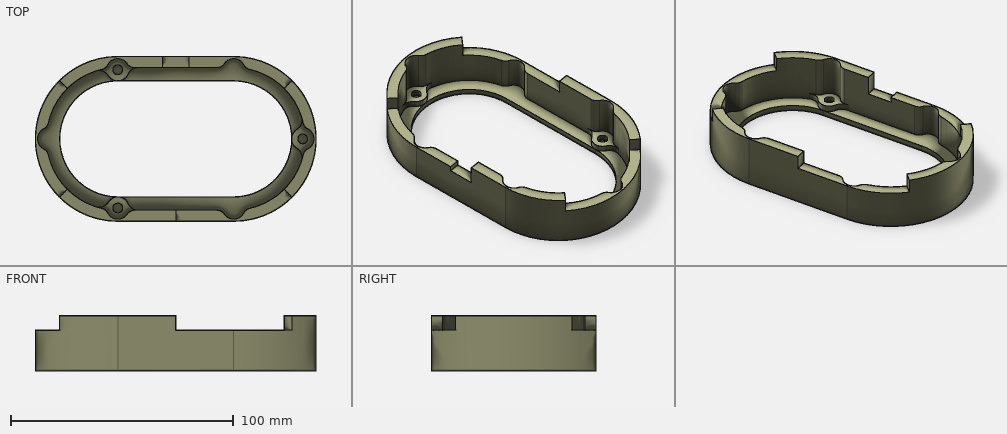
import cadquery as cq
import math

ARC_OFFSET = 26.0
OUTER_RADIUS = 37.0
CAVITY_RADIUS = 32.0
OPENING_RADIUS = 26.0

FULL_HEIGHT = 25.0
LOW_RIM_HEIGHT = 18.5
NOTCH_FLOOR_HEIGHT = 16.0
FLOOR_THICKNESS = 3.0
BOSS_HEIGHT = 6.0
BOTTOM_ROUNDING = 0.5

SCREW_RADIUS = 31.0
LOBE_RADIUS = 5.0
LOBE_BLEND_RADIUS = 4.0
BOSS_BLEND_RADIUS = 5.0
HOLE_DIAMETER = 4.4

NOTCH_WIDTH = 12.0

MATCH_TOLERANCE = 0.01

BOSS_POINTS = [
    (-ARC_OFFSET, SCREW_RADIUS),
    (-ARC_OFFSET, -SCREW_RADIUS),
    (ARC_OFFSET + SCREW_RADIUS, 0),
]
OPEN_LOBE_POINTS = [(-x, y) for x, y in BOSS_POINTS]
LOBE_POINTS = BOSS_POINTS + OPEN_LOBE_POINTS


def racetrack(radius, bottom, top):
    """Solid racetrack slab between two heights."""
    slab = cq.Workplane("XY").workplane(offset=bottom)
    return slab.slot2D(2 * (ARC_OFFSET + radius), 2 * radius).extrude(top - bottom)


def posts(points, bottom, top, radius=LOBE_RADIUS):
    """Round posts at the given screw positions."""
    plan = cq.Workplane("XY").workplane(offset=bottom)
    return plan.pushPoints(points).circle(radius).extrude(top - bottom)


def box_between(x_range, y_range, bottom, top):
    """Box given by its X, Y and Z limits."""
    size = (x_range[1] - x_range[0], y_range[1] - y_range[0], top - bottom)
    return cq.Workplane("XY").box(*size, centered=False).translate((x_range[0], y_range[0], bottom))


def is_lobe_corner(edge):
    """True for the vertical edges where a lobe crosses the cavity wall."""
    mid = edge.Center()
    distances = [math.hypot(mid.x - x, mid.y - y) for x, y in LOBE_POINTS]
    return abs(min(distances) - LOBE_RADIUS) < MATCH_TOLERANCE


def blend_lobe_corners(body, radius):
    """Round the sharp vertical edges between lobes and cavity wall."""
    corners = [edge for edge in body.edges("|Z").vals() if is_lobe_corner(edge)]
    return body.newObject(corners).fillet(radius)


def make_cavity():
    """Inner space above the floor, with a lobe at every screw position."""
    cavity = racetrack(CAVITY_RADIUS, FLOOR_THICKNESS, FULL_HEIGHT)
    cavity = cavity.union(posts(LOBE_POINTS, FLOOR_THICKNESS, FULL_HEIGHT))
    return blend_lobe_corners(cavity, LOBE_BLEND_RADIUS)


def make_bosses():
    """Screw bosses that flare into the surrounding wall."""
    ring = racetrack(OUTER_RADIUS, FLOOR_THICKNESS, BOSS_HEIGHT)
    ring = ring.cut(racetrack(CAVITY_RADIUS, FLOOR_THICKNESS, BOSS_HEIGHT))
    ring = ring.union(posts(BOSS_POINTS, FLOOR_THICKNESS, BOSS_HEIGHT))
    flared_ring = blend_lobe_corners(ring, BOSS_BLEND_RADIUS)
    near_bosses = posts(BOSS_POINTS, FLOOR_THICKNESS, BOSS_HEIGHT, 2 * LOBE_RADIUS)
    return flared_ring.intersect(near_bosses)


def end_wedge(side):
    """Right-angled wedge above the low rim, opening outward from one end-arc centre."""
    reach = 2 * OUTER_RADIUS
    tip = side * ARC_OFFSET
    far = side * (ARC_OFFSET + reach)
    plan = cq.Workplane("XY").workplane(offset=LOW_RIM_HEIGHT)
    plan = plan.polyline([(tip, 0), (far, reach), (far, -reach)]).close()
    return plan.extrude(FULL_HEIGHT - LOW_RIM_HEIGHT)


def make_low_rim():
    """Space above the low rim: the -X end wedge and the +X half outside its own wedge."""
    end_x = ARC_OFFSET + OUTER_RADIUS
    half = box_between((0, end_x), (-OUTER_RADIUS, OUTER_RADIUS), LOW_RIM_HEIGHT, FULL_HEIGHT)
    return half.cut(end_wedge(1)).union(end_wedge(-1))


def make_notch():
    """Deeper notch through the middle of the +Y straight wall."""
    half_width = NOTCH_WIDTH / 2
    return box_between((-half_width, half_width), (0, OUTER_RADIUS), NOTCH_FLOOR_HEIGHT, FULL_HEIGHT)


def make_screw_holes():
    """Blind holes through the bosses, ending on the floor."""
    plan = cq.Workplane("XY").workplane(offset=FLOOR_THICKNESS)
    return plan.pushPoints(BOSS_POINTS).circle(HOLE_DIAMETER / 2).extrude(BOSS_HEIGHT - FLOOR_THICKNESS)


shell = racetrack(OUTER_RADIUS, 0, FULL_HEIGHT)
shell = shell.cut(racetrack(OPENING_RADIUS, 0, FLOOR_THICKNESS))
shell = shell.faces("<Z").edges().fillet(BOTTOM_ROUNDING)
shell = shell.cut(make_cavity())
shell = shell.cut(make_low_rim()).cut(make_notch())
result = shell.union(make_bosses()).cut(make_screw_holes())